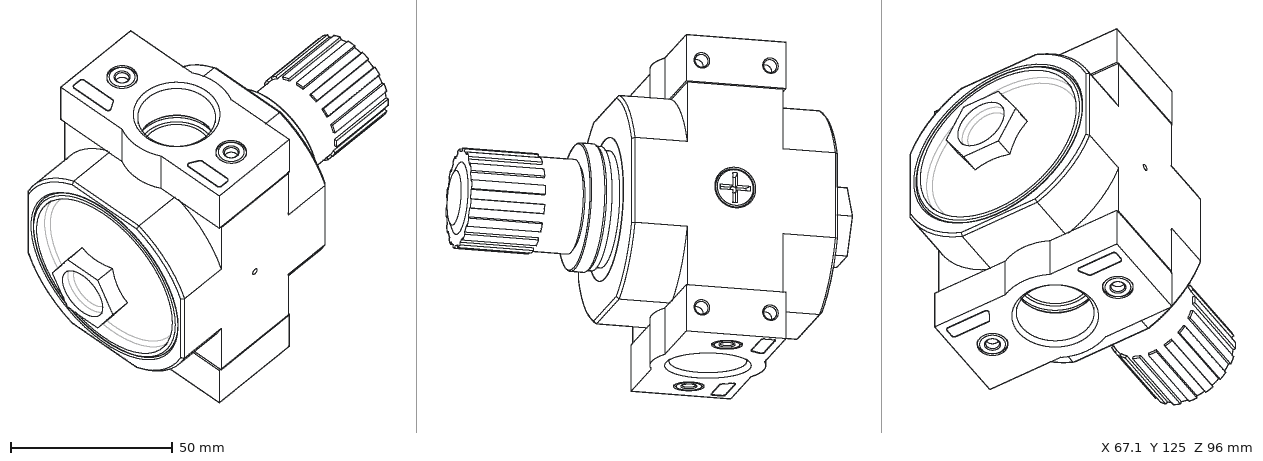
import cadquery as cq
import math


housing_half = 33.0
housing_size = 2 * housing_half
drum_radius = 35.8
drum_chamfer = 0.9
web_length = 30.8
port_diameter = 22.0

groove_diameter = 26.0
groove_floor_diameter = 24.1
groove_depth_in_housing = 1.9
groove_depth_in_flange = 1.2

vent_diameter = 2.0
seat_outer_diameter = 13.1
seat_inner_diameter = 11.5
slot_length = 9.6
slot_width = 1.5
slot_depth = 2.5
slot_end_run = 0.8

flange_left = 34.1
flange_right = 32.8
flange_length = 32.0
flange_thickness = 15.0
flange_top = housing_half + flange_thickness
flange_bulge_radius = 18.0
flange_bore = 24.1
flange_bore_rim = 26.9
side_hole_y = 11.0
side_hole_z = 40.0
side_hole_diameter = 4.1
side_hole_rim = 5.0
side_hole_depth = 6.2

label_margin = 2.4
label_inner_x = 15.9
label_far_y = -8.9
label_near_y = -13.4
label_slant_run = 2.5
label_corner_radius = 0.9
label_depth = 0.2

screw_x = 23.0
screw_head_diameter = 9.5
screw_head_height = 5.0
screw_edge_chamfer = 0.8
screw_shank_diameter = 5.0
screw_length = 25.0
socket_rim = 5.0
socket_diameter = 4.2
socket_depth = 2.5

drill_half_angle = math.radians(59)

cap_radius = 30.5
cap_seat_rim_radius = 31.0
cap_seat_depth = 8.0
cap_chamfer = 0.6
cap_rim_inner_radius = 28.6
cap_fillet_reach = 1.8
cone_flush_radius = 18.8
cone_slope = 0.55
cone_tip_radius = 10.0
hex_sides = 6
hex_across_flats = 22.1
cap_end_y = -43.0
hex_recess_diameter = 17.0
hex_recess_depth = 3.8
hex_recess_fillet = 1.2

bonnet_foot_radius = 22.4
bonnet_foot_top = 33.1
bonnet_neck_radius = 18.2
bonnet_collar_radius = 19.4
bonnet_collar_bottom = 35.9
bonnet_collar_top = 37.6
bonnet_ring_bottom = 38.4
bonnet_ring_radius = 20.0
bonnet_ring_chamfer = 0.4
bonnet_ring_top = 43.0
spindle_radius = 13.44

knob_bottom = 43.9
knob_radius = 14.8
knob_shoulder = 79.9
knob_top = 82.0
ridge_radius = 15.6
ridge_bottom = 56.2
ridge_width = 2.9
ridge_count = 16
dome_foot_radius = 11.2
dome_edge_radius = 8.5
dome_edge_y = 81.4


def turned_about_y(profile):
    """Solid of revolution about Y from a closed (radius, y) profile."""
    return profile.close().revolve(360, (0, 0, 0), (0, 1, 0))


def drilled_hole(diameter, rim_diameter, depth):
    """Cutter along -Z from the origin: rim chamfer, straight wall and drill tip."""
    radius = diameter / 2
    rim_radius = rim_diameter / 2
    return (
        cq.Workplane("XZ")
        .polyline([
            (0, 0),
            (rim_radius, 0),
            (radius, radius - rim_radius),
            (radius, -depth),
            (0, -depth - radius / math.tan(drill_half_angle)),
        ])
        .close()
        .revolve(360, (0, 0, 0), (0, 1, 0))
    )


def cone_y(radius):
    """Height of the cap's conical face at a radius; it is flush with the housing end at one radius."""
    return -housing_half - (cone_flush_radius - radius) * cone_slope


def make_groove():
    """Ring groove cutter at the +Z port: straight through the joint, then tapering to its floor."""
    groove_radius = groove_diameter / 2
    floor_radius = groove_floor_diameter / 2
    floor_z = housing_half - groove_depth_in_housing
    return (
        cq.Workplane("XZ")
        .polyline([
            (0, floor_z),
            (floor_radius, floor_z),
            (groove_radius, floor_z + groove_radius - floor_radius),
            (groove_radius, housing_half + groove_depth_in_flange),
            (0, housing_half + groove_depth_in_flange),
        ])
        .close()
        .revolve(360, (0, 0, 0), (0, 1, 0))
    )


def make_cross_seat():
    """V-groove around two crossed slots, with a vent through both sides."""
    outer_radius = seat_outer_diameter / 2
    inner_radius = seat_inner_diameter / 2
    v_depth = (outer_radius - inner_radius) / 2
    v_groove = (
        cq.Workplane("XY")
        .polyline([
            (-housing_half, outer_radius),
            (-housing_half + v_depth, inner_radius + v_depth),
            (-housing_half, inner_radius),
        ])
        .close()
        .revolve(360, (0, 0, 0), (1, 0, 0))
    )
    slot_floor_x = -housing_half + slot_depth
    half_top = slot_length / 2
    half_bottom = half_top - slot_end_run
    slot = (
        cq.Workplane("XY")
        .polyline([
            (-housing_half, -half_top),
            (-housing_half, half_top),
            (slot_floor_x, half_bottom),
            (slot_floor_x, -half_bottom),
        ])
        .close()
        .extrude(slot_width / 2, both=True)
    )
    crossing_slot = slot.rotate((0, 0, 0), (1, 0, 0), 90)
    vent = cq.Workplane("YZ").circle(vent_diameter / 2).extrude(housing_half, both=True)
    return v_groove.union(slot).union(crossing_slot).union(vent)


def make_cap_seat():
    """Round pocket in the -Y end with a conical lead-in."""
    lead_in = cap_seat_rim_radius - cap_radius
    profile = cq.Workplane("XY").polyline([
        (0, -housing_half),
        (cap_seat_rim_radius, -housing_half),
        (cap_radius, -housing_half + lead_in),
        (cap_radius, -housing_half + cap_seat_depth),
        (0, -housing_half + cap_seat_depth),
    ])
    return turned_about_y(profile)


def make_housing():
    drum = (
        cq.Workplane("XZ")
        .circle(drum_radius)
        .extrude(housing_half, both=True)
        .intersect(cq.Workplane("XY").box(housing_size, housing_size, housing_size))
        .faces("<Y or >Y")
        .chamfer(drum_chamfer)
    )
    web = cq.Workplane("XY").box(housing_size, web_length, housing_size)
    port = cq.Workplane("XY").circle(port_diameter / 2).extrude(housing_half, both=True)
    groove = make_groove()
    housing = drum.union(web).cut(port).cut(groove).cut(groove.mirror("XY"))
    return housing.cut(make_cap_seat()).cut(make_cross_seat())


def make_label(outer_x):
    """Shallow trapezoid recess from its slanted inner end to the outer end at outer_x."""
    side = math.copysign(1, outer_x)
    return (
        cq.Workplane("XY", origin=(0, 0, flange_top - label_depth))
        .polyline([
            (outer_x, label_near_y),
            (outer_x, label_far_y),
            (side * (label_inner_x + label_slant_run), label_far_y),
            (side * label_inner_x, label_near_y),
        ])
        .close()
        .extrude(label_depth)
        .edges("|Z")
        .fillet(label_corner_radius)
    )


def make_flange():
    """Flange on the +Z side."""
    plate = (
        cq.Workplane("XY")
        .box(flange_left + flange_right, flange_length, flange_thickness, centered=(False, True, False))
        .translate((-flange_left, 0, housing_half))
    )
    bulge = cq.Workplane("XY", origin=(0, 0, housing_half)).circle(flange_bulge_radius).extrude(flange_thickness)
    bore = cq.Workplane("XY", origin=(0, 0, housing_half)).circle(flange_bore / 2).extrude(flange_thickness)
    flange = plate.union(bulge).cut(bore)
    rim_chamfer = (flange_bore_rim - flange_bore) / 2
    flange = flange.faces(">Z").edges(cq.selectors.RadiusNthSelector(0)).chamfer(rim_chamfer)
    flange = flange.cut(make_groove())
    side_hole = drilled_hole(side_hole_diameter, side_hole_rim, side_hole_depth)
    side_hole = side_hole.rotate((0, 0, 0), (0, 1, 0), -90)
    for y in (-side_hole_y, side_hole_y):
        flange = flange.cut(side_hole.translate((-flange_left, y, side_hole_z)))
    for outer_x in (-flange_left + label_margin, flange_right - label_margin):
        flange = flange.cut(make_label(outer_x))
    for x in (-screw_x, screw_x):
        flange = flange.cut(make_screw_blank(x))
    return flange


def make_screw_blank(x):
    """Screw on the +Z side without its edge chamfer and socket, which is the shape of its hole."""
    head = (
        cq.Workplane("XY", origin=(x, 0, flange_top - screw_head_height))
        .circle(screw_head_diameter / 2)
        .extrude(screw_head_height)
    )
    shank = (
        cq.Workplane("XY", origin=(x, 0, flange_top - screw_length))
        .circle(screw_shank_diameter / 2)
        .extrude(screw_length - screw_head_height)
    )
    return head.union(shank)


def make_screw(x):
    blank = make_screw_blank(x).faces(">Z").chamfer(screw_edge_chamfer)
    socket = drilled_hole(socket_diameter, socket_rim, socket_depth)
    return blank.cut(socket.translate((x, 0, flange_top)))


def make_cap():
    """Bottom cap: dished disc with a conical face and a recessed hexagon."""
    seat_y = -housing_half + cap_seat_depth
    corner_y = cone_y(cap_rim_inner_radius)
    cone_angle = math.atan(cone_slope)
    fillet_end_radius = cap_rim_inner_radius - cap_fillet_reach * math.cos(cone_angle)
    profile = (
        cq.Workplane("XY")
        .moveTo(0, seat_y)
        .lineTo(cap_radius, seat_y)
        .lineTo(cap_radius, -housing_half + cap_chamfer)
        .lineTo(cap_radius - cap_chamfer, -housing_half)
        .lineTo(cap_rim_inner_radius, -housing_half)
        .lineTo(cap_rim_inner_radius, corner_y - cap_fillet_reach)
        .tangentArcPoint((fillet_end_radius, cone_y(fillet_end_radius)), relative=False)
        .lineTo(cone_tip_radius, cone_y(cone_tip_radius))
        .lineTo(0, cone_y(cone_tip_radius))
    )
    hexagon = (
        cq.Workplane("XZ", origin=(0, -housing_half, 0))
        .polygon(hex_sides, hex_across_flats / math.cos(math.pi / hex_sides))
        .extrude(-cap_end_y - housing_half)
    )
    recess = (
        cq.Workplane("XZ", origin=(0, cap_end_y + hex_recess_depth, 0))
        .circle(hex_recess_diameter / 2)
        .extrude(hex_recess_depth)
        .faces(">Y")
        .edges()
        .fillet(hex_recess_fillet)
    )
    return turned_about_y(profile).union(hexagon).cut(recess)


def make_bonnet():
    """Stepped bonnet standing on the +Y end and carrying the knob."""
    profile = cq.Workplane("XY").polyline([
        (0, housing_half),
        (bonnet_foot_radius, housing_half),
        (bonnet_foot_radius, bonnet_foot_top),
        (bonnet_neck_radius, bonnet_foot_top),
        (bonnet_neck_radius, bonnet_collar_bottom),
        (bonnet_collar_radius, bonnet_collar_bottom),
        (bonnet_collar_radius, bonnet_collar_top),
        (bonnet_ring_radius, bonnet_ring_bottom),
        (bonnet_ring_radius, bonnet_ring_top - bonnet_ring_chamfer),
        (bonnet_ring_radius - bonnet_ring_chamfer, bonnet_ring_top),
        (spindle_radius, bonnet_ring_top),
        (spindle_radius, knob_bottom),
        (0, knob_bottom),
    ])
    return turned_about_y(profile)


def make_knob():
    """Ribbed knob with a low dome on its end."""
    dome_rise = knob_top - dome_edge_y
    dome_arc_radius = (dome_edge_radius**2 + dome_rise**2) / (2 * dome_rise)
    middle_radius = dome_edge_radius / 2
    middle_y = knob_top - dome_arc_radius + math.sqrt(dome_arc_radius**2 - middle_radius**2)
    profile = (
        cq.Workplane("XY")
        .moveTo(0, knob_bottom)
        .lineTo(knob_radius, knob_bottom)
        .lineTo(knob_radius, knob_shoulder)
        .lineTo(dome_foot_radius, knob_shoulder)
        .lineTo(dome_edge_radius, dome_edge_y)
        .threePointArc((middle_radius, middle_y), (0, knob_top))
    )
    ridge_length = knob_shoulder - ridge_bottom
    bar_length = 3 * ridge_radius
    rib_circle = cq.Workplane("XZ", origin=(0, knob_shoulder, 0)).circle(ridge_radius).extrude(ridge_length)
    bar = cq.Workplane("XZ", origin=(0, knob_shoulder, 0)).rect(bar_length, ridge_width).extrude(ridge_length)
    opposite_ridges = bar.intersect(rib_circle)
    knob = turned_about_y(profile)
    for i in range(ridge_count // 2):
        knob = knob.union(opposite_ridges.rotate((0, 0, 0), (0, 1, 0), i * 360 / ridge_count))
    return knob


housing = make_housing()
flange = make_flange()
screws = []
for x in (-screw_x, screw_x):
    blank = make_screw_blank(x)
    housing = housing.cut(blank).cut(blank.mirror("XY"))
    screw = make_screw(x)
    screws += [screw.val(), screw.mirror("XY").val()]
flanges = [flange.val(), flange.mirror("XY").val()]

cap = make_cap()
bonnet = make_bonnet()
knob = make_knob()

result = cq.Compound.makeCompound([
    housing.val(),
    *flanges,
    *screws,
    cap.val(),
    bonnet.val(),
    knob.val(),
])